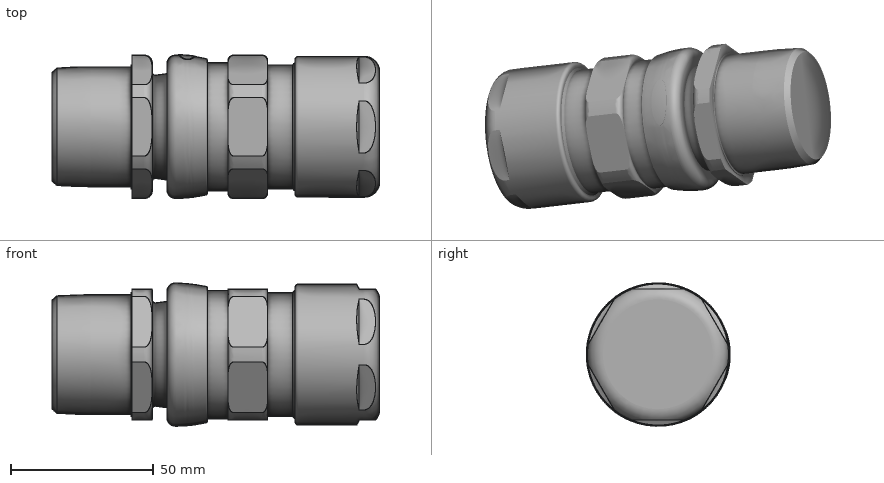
import cadquery as cq
import math


total_length = 115.1
hex_flats = 46.0
hex_sides = 6
hex_turned_dia = 50.36
inner_dia = 43.54
body_dia = 45.15
spigot_dia = 38.0

tip_dia = 38.0
tip_chamfer_length = 1.85
barrel_start_dia = 41.27
barrel_dia = 42.16
crown_end = 13.65
collar_start = 27.8
flange_start = 28.15
flange_end = 35.3
flange_corner_radius = 2.85
neck_start_dia = 36.28
neck_end_dia = 37.3
neck_fillet = 1.1
neck_flare_end = 40.1

ring_start = 40.4
ring_end = 54.6
ring_dia = 50.36
ring_nose_radius = 3.1
ring_crown_radius = 46.0
ring_edge_radius = 0.6

pad_center = 47.4
pad_length = 5.8
pad_width = 16.8
pad_height = 0.195

nut_start = 61.8
nut_end = 75.8
nut_corner_radius = 2.0
shoulder_start = 84.5
shoulder_end = shoulder_start + (body_dia - inner_dia) / 2

cap_start = shoulder_end
cap_dia = 49.5
cap_front_radius = 1.3
cap_end_radius = 5.5
cap_flat_top_start = 107.0
cap_flat_floor_start = 107.9


def cylinder(start, end, diameter):
    """Solid cylinder along X from start to end."""
    return cq.Workplane("YZ", origin=(start, 0, 0)).circle(diameter / 2).extrude(end - start)


def revolve_about_x(outline):
    """Revolve a closed outline, drawn as X against radius, about the X axis."""
    return outline.close().revolve(360, (0, 0, 0), (1, 0, 0))


def hexagon(start, end, corner_radius, round_start):
    """Hexagon with flats on +Z and -Z and turned corners, rounded at one or both ends."""
    across_corners = hex_flats / math.cos(math.pi / hex_sides)
    face = cq.Workplane("YZ", origin=(start, 0, 0)).polygon(hex_sides, across_corners)
    prism = face.extrude(end - start)
    turned = cylinder(start, end, hex_turned_dia)
    rounded_edges = turned.edges() if round_start else turned.faces(">X").edges()
    return prism.intersect(rounded_edges.fillet(corner_radius))


def make_entry_fitting():
    """Thread barrel with a thin collar, hexagon flange and flared neck."""
    barrel_radius = barrel_dia / 2
    crown_drop = (barrel_dia - barrel_start_dia) / 2
    crown_length = crown_end - tip_chamfer_length
    crown_radius = (crown_length**2 + crown_drop**2) / (2 * crown_drop)
    crown_mid = tip_chamfer_length + crown_length / 2
    mid_radius = barrel_radius - crown_radius + math.sqrt(crown_radius**2 - (crown_length / 2) ** 2)
    barrel = revolve_about_x(
        cq.Workplane("XY")
        .lineTo(0, tip_dia / 2)
        .lineTo(tip_chamfer_length, barrel_start_dia / 2)
        .threePointArc((crown_mid, mid_radius), (crown_end, barrel_radius))
        .lineTo(collar_start, barrel_radius)
        .lineTo(collar_start, 0)
    )
    collar = cylinder(collar_start, flange_start, inner_dia)
    flange = hexagon(flange_start, flange_end, flange_corner_radius, round_start=False)
    neck_radius = neck_start_dia / 2
    neck = revolve_about_x(
        cq.Workplane("XY")
        .moveTo(flange_end, 0)
        .lineTo(flange_end, neck_radius + neck_fillet)
        .radiusArc((flange_end + neck_fillet, neck_radius), -neck_fillet)
        .lineTo(neck_flare_end, neck_end_dia / 2)
        .lineTo(ring_start, neck_end_dia / 2)
        .lineTo(ring_start, 0)
    )
    return barrel.union(collar).union(flange).union(neck)


def ring_blank(growth):
    """Solid of the ring's crowned outside, with its radius enlarged by growth."""
    crest = ring_dia / 2 + growth
    nose_end = ring_start + ring_nose_radius
    crown_center = crest - ring_crown_radius

    def crown_height(x):
        return crown_center + math.sqrt(ring_crown_radius**2 - (x - nose_end) ** 2)

    crown_stop = ring_end - ring_edge_radius
    edge_height = crown_height(crown_stop)
    crown_mid = (nose_end + crown_stop) / 2
    return revolve_about_x(
        cq.Workplane("XY")
        .moveTo(ring_start, 0)
        .lineTo(ring_start, crest - ring_nose_radius)
        .radiusArc((nose_end, crest), ring_nose_radius)
        .threePointArc((crown_mid, crown_height(crown_mid)), (crown_stop, edge_height))
        .radiusArc((ring_end, edge_height - ring_edge_radius), ring_edge_radius)
        .lineTo(ring_end, 0)
    )


def make_ring():
    """Crowned ring with a raised oval pad on its +Y side, bored for the spigot."""
    pad_column = (
        cq.Workplane("XZ", origin=(pad_center, 0, 0))
        .ellipse(pad_length / 2, pad_width / 2)
        .extrude(-ring_dia)
    )
    pad = ring_blank(pad_height).intersect(pad_column)
    bore = cylinder(ring_start, ring_end, spigot_dia)
    return ring_blank(0).union(pad).cut(bore)


def make_main_body():
    """Spigot, sleeve, hexagon nut, waist and a bevelled shoulder at the cap."""
    spigot = cylinder(ring_start, ring_end, spigot_dia)
    sleeve = cylinder(ring_end, nut_start, body_dia)
    nut = hexagon(nut_start, nut_end, nut_corner_radius, round_start=True)
    waist = revolve_about_x(
        cq.Workplane("XY")
        .moveTo(nut_end, 0)
        .lineTo(nut_end, inner_dia / 2)
        .lineTo(shoulder_start, inner_dia / 2)
        .lineTo(shoulder_end, body_dia / 2)
        .lineTo(shoulder_end, 0)
    )
    return spigot.union(sleeve).union(nut).union(waist)


def make_cap():
    """Round cap with a large end radius and six wrench flats with sloped walls."""
    cap = cylinder(cap_start, total_length, cap_dia)
    cap = cap.faces("<X").edges().fillet(cap_front_radius)
    cap = cap.faces(">X").edges().fillet(cap_end_radius)
    floor = hex_flats / 2
    surface = cap_dia / 2
    slope = (cap_flat_floor_start - cap_flat_top_start) / (surface - floor)
    clearance = 1.0
    cutter = (
        cq.Workplane("XZ")
        .moveTo(cap_flat_floor_start, floor)
        .lineTo(total_length + clearance, floor)
        .lineTo(total_length + clearance, surface + clearance)
        .lineTo(cap_flat_top_start - slope * clearance, surface + clearance)
        .close()
        .extrude(cap_dia / 2, both=True)
    )
    for index in range(hex_sides):
        cap = cap.cut(cutter.rotate((0, 0, 0), (1, 0, 0), 360 / hex_sides * index))
    return cap


entry_fitting = make_entry_fitting()
ring = make_ring()
main_body = make_main_body()
cap = make_cap()

result = cq.Compound.makeCompound([entry_fitting.val(), ring.val(), main_body.val(), cap.val()])